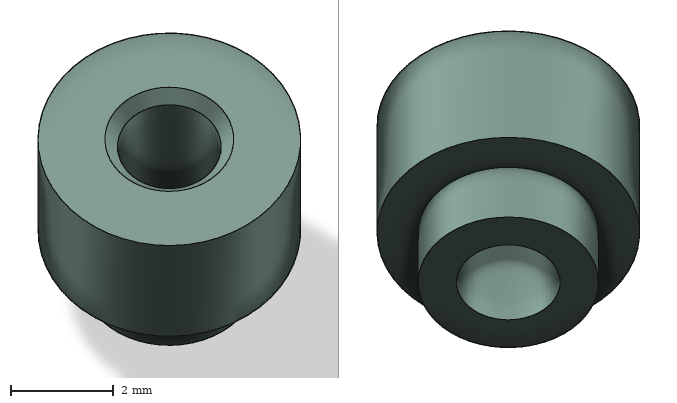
import cadquery as cq

body_diameter = 5.1
neck_diameter = 3.5
bore_diameter = 2.01
countersink_diameter = 2.5
total_height = 4.4
neck_height = 1.4

body_height = total_height - neck_height
countersink_depth = (countersink_diameter - bore_diameter) / 2

neck = cq.Workplane("XY").circle(neck_diameter / 2).extrude(neck_height)
bushing = neck.faces(">Z").workplane().circle(body_diameter / 2).extrude(body_height)

bushing = bushing.faces(">Z").workplane().hole(bore_diameter)

bore_mouth = bushing.faces(">Z").edges(cq.selectors.RadiusNthSelector(0))
result = bore_mouth.chamfer(countersink_depth)